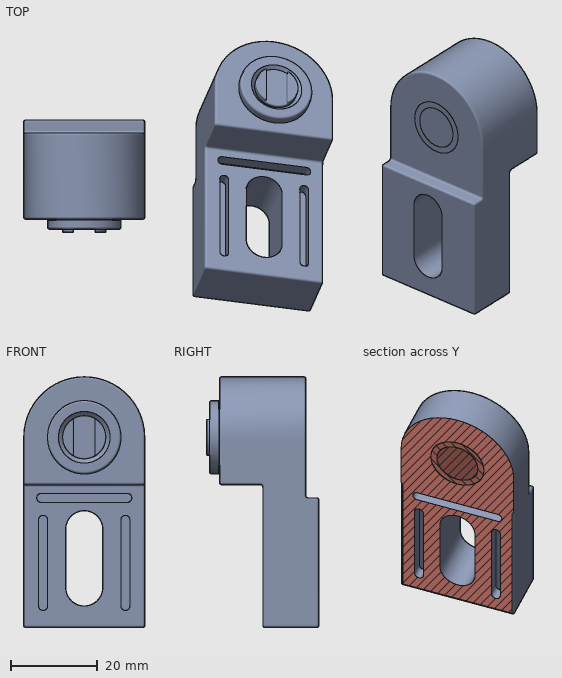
import cadquery as cq

HEIGHT = 58.0
WIDTH = 28.0
HEAD_RADIUS = WIDTH / 2
AXIS_Z = HEIGHT - HEAD_RADIUS
FOOT_DEPTH = 13.0
FOOT_TOP_Z = 30.0
HEAD_BACK_Y = -3.0
HEAD_FRONT_Y = -22.95
HEAD_BOTTOM_Z = 33.0
EDGE_RADIUS = 0.5

SLOT_LENGTH = 22.0
BOLT_SLOT_WIDTH = 8.5
BOLT_SLOT_Z = 16.0
GROOVE_WIDTH = 2.1
GROOVE_DEPTH = 2.9
SIDE_GROOVE_X = 9.5
SIDE_GROOVE_Z = 14.95
TOP_GROOVE_Z = 30.0

UPRIGHT = 90
LEVEL = 0

BUSHING_DIAMETER = 13.0
FLANGE_DIAMETER = 17.0
FLANGE_GAP = 0.2
FLANGE_FRONT_Y = -25.3
MOUTH_CHAMFER = 1.0

PIN_DIAMETER = 10.0
PIN_TIP_Y = -26.0
DRIVE_SLOT_WIDTH = 5.0
DRIVE_SLOT_DEPTH = 1.0
PIN_EDGE_RADIUS = 0.205


def cylinder(diameter, front_y, back_y):
    """Cylinder on the bearing axis between two Y positions."""
    circle = cq.Workplane("XZ", origin=(0, front_y, AXIS_Z)).circle(diameter / 2)
    return circle.extrude(front_y - back_y)


def foot_slot(x, z, width, depth, angle):
    """Round-ended cutter that enters the foot from its front face."""
    face = cq.Workplane("XZ", origin=(x, -FOOT_DEPTH, z))
    return face.slot2D(SLOT_LENGTH, width, angle).extrude(-depth)


def make_bracket_blank():
    """Stepped side profile trimmed to the arched front outline."""
    side_profile = (
        cq.Workplane("YZ")
        .moveTo(0, 0)
        .lineTo(0, FOOT_TOP_Z)
        .lineTo(HEAD_BACK_Y, FOOT_TOP_Z)
        .lineTo(HEAD_BACK_Y, HEIGHT)
        .lineTo(HEAD_FRONT_Y, HEIGHT)
        .lineTo(HEAD_FRONT_Y, HEAD_BOTTOM_Z)
        .lineTo(-FOOT_DEPTH, HEAD_BOTTOM_Z)
        .lineTo(-FOOT_DEPTH, 0)
        .close()
        .extrude(WIDTH / 2, both=True)
    )
    arched_outline = (
        cq.Workplane("XZ")
        .moveTo(-WIDTH / 2, 0)
        .lineTo(-WIDTH / 2, AXIS_Z)
        .threePointArc((0, HEIGHT), (WIDTH / 2, AXIS_Z))
        .lineTo(WIDTH / 2, 0)
        .close()
        .extrude(-HEAD_FRONT_Y)
    )
    return side_profile.intersect(arched_outline)


def round_bracket_edges(blank):
    """Round every edge except the two smooth seams where the arch meets the flat sides."""
    seams = cq.selectors.BoxSelector(
        (-WIDTH, HEAD_FRONT_Y + EDGE_RADIUS, AXIS_Z - EDGE_RADIUS),
        (WIDTH, HEAD_BACK_Y - EDGE_RADIUS, AXIS_Z + EDGE_RADIUS),
    )
    seam_edges = blank.edges(seams).vals()
    sharp_edges = [edge for edge in blank.edges().vals() if edge not in seam_edges]
    return blank.newObject(sharp_edges).fillet(EDGE_RADIUS)


def make_bracket():
    """Rounded blank with the bolt slot, three relief grooves and the bushing hole."""
    bracket = round_bracket_edges(make_bracket_blank())
    bracket = bracket.cut(foot_slot(0, BOLT_SLOT_Z, BOLT_SLOT_WIDTH, FOOT_DEPTH, UPRIGHT))
    for x in (-SIDE_GROOVE_X, SIDE_GROOVE_X):
        bracket = bracket.cut(foot_slot(x, SIDE_GROOVE_Z, GROOVE_WIDTH, GROOVE_DEPTH, UPRIGHT))
    bracket = bracket.cut(foot_slot(0, TOP_GROOVE_Z, GROOVE_WIDTH, GROOVE_DEPTH, LEVEL))
    return bracket.cut(cylinder(BUSHING_DIAMETER, HEAD_FRONT_Y, HEAD_BACK_Y))


def make_bushing():
    """Sleeve through the head, with a flange held just clear of the head's front face."""
    flange = cylinder(FLANGE_DIAMETER, FLANGE_FRONT_Y, HEAD_FRONT_Y - FLANGE_GAP)
    flange = flange.faces("<Y").edges().fillet(EDGE_RADIUS)
    sleeve = cylinder(BUSHING_DIAMETER, FLANGE_FRONT_Y + EDGE_RADIUS, HEAD_BACK_Y)
    bore = cylinder(PIN_DIAMETER, FLANGE_FRONT_Y, HEAD_BACK_Y)
    bushing = flange.union(sleeve).cut(bore)
    mouth = bushing.faces("<Y").edges(cq.selectors.RadiusNthSelector(0))
    return mouth.chamfer(MOUTH_CHAMFER)


def make_pin():
    """Pin filling the bushing, with a screwdriver slot across its front end."""
    pin = cylinder(PIN_DIAMETER, PIN_TIP_Y, HEAD_BACK_Y)
    drive_slot = cq.Workplane("XY", origin=(0, PIN_TIP_Y, AXIS_Z)).box(
        DRIVE_SLOT_WIDTH, 2 * DRIVE_SLOT_DEPTH, PIN_DIAMETER
    )
    slotted_end = cq.selectors.BoxSelector(
        (-PIN_DIAMETER, PIN_TIP_Y - DRIVE_SLOT_DEPTH, 0),
        (PIN_DIAMETER, PIN_TIP_Y + 2 * DRIVE_SLOT_DEPTH, HEIGHT),
    )
    return pin.cut(drive_slot).edges(slotted_end).fillet(PIN_EDGE_RADIUS)


bracket = make_bracket()
bushing = make_bushing()
pin = make_pin()
result = cq.Compound.makeCompound([body.solids().val() for body in (bracket, bushing, pin)])